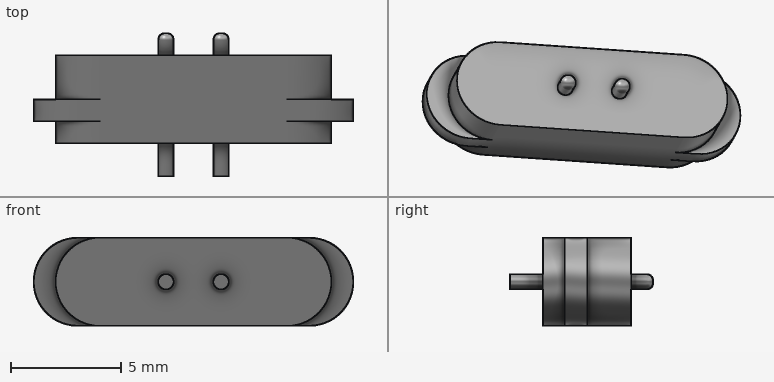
import cadquery as cq

body_length = 12.5
body_height = 4.0
body_thickness = 4.0

flange_overhang = 1.0
flange_length = body_length + 2 * flange_overhang
flange_thickness = 1.0
flange_front = 1.0

pin_diameter = 0.7
pin_pitch = 2.5
pin_front_length = 1.5
pin_back_length = 1.0
pin_tip_round = 0.3


def rounded_slab(length, front, thickness):
    """Slab with full-round ends, from Y = front toward +Y."""
    return (
        cq.Workplane("XZ", origin=(0, front, 0))
        .slot2D(length, body_height)
        .extrude(-thickness)
    )


def contact_pin(x):
    """Round pin through the body, flat at the front and rounded at the back tip."""
    pin_length = pin_front_length + body_thickness + pin_back_length
    return (
        cq.Workplane("XZ", origin=(x, -pin_front_length, 0))
        .circle(pin_diameter / 2)
        .extrude(-pin_length)
        .faces(">Y")
        .edges()
        .fillet(pin_tip_round)
    )


body = rounded_slab(body_length, 0, body_thickness)
flange = rounded_slab(flange_length, flange_front, flange_thickness)

result = body.union(flange)
for side in (-1, 1):
    result = result.union(contact_pin(side * pin_pitch / 2))